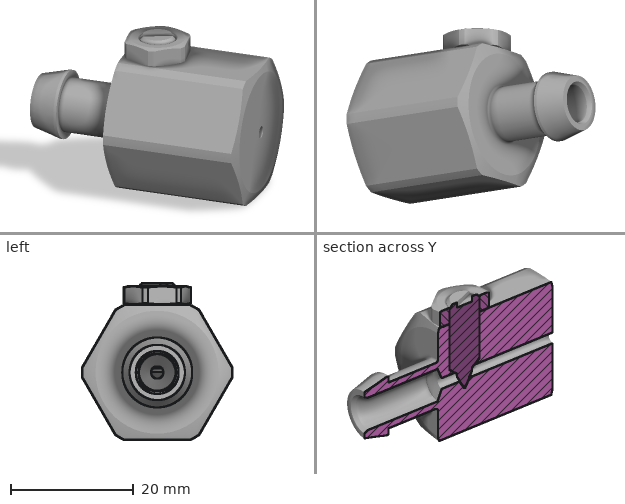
import cadquery as cq
import math

length = 38.5
block_start = 15.0
block_flats = 22.0
block_corner_dia = 24.5
block_face_dia = 20.02
chamfer_angle = 15.0

neck_dia = 9.0
barb_dia = 11.4
barb_length = 5.0
barb_land = 0.5
neck_fillet = 0.4

mouth_dia = 7.0
mouth_depth = 0.75
bore_dia = 6.2
bore_depth = block_start
funnel_dia = 5.95
funnel_half_angle = 68.0
passage_dia = 2.0

valve_x = 20.52
nut_flats = 10.0
nut_corner_dia = 11.05
nut_face_dia = 9.0
nut_height = 3.1
nut_turn = 9.0
nut_bottom = block_flats / 2
nut_mouth_dia = 6.45

screw_dia = 5.95
screw_top = 14.55
screw_top_chamfer = 0.55
needle_dia = 3.2
needle_shoulder = 0.65
needle_cone_start = 0.08
needle_half_angle = 30.0
slot_width = 1.2
slot_depth = 1.0
slot_turn = 23.5


def chamfered_hexagon(flats, corner_dia, face_dia, height):
    """Hexagon on Z from z = 0, with a flat facing +X, turned corners and conical ends."""
    hexagon = (
        cq.Workplane("XY")
        .polygon(6, flats / math.cos(math.radians(30)))
        .extrude(height)
        .rotate((0, 0, 0), (0, 0, 1), 30)
    )
    corner_radius = corner_dia / 2
    face_radius = face_dia / 2
    drop = (corner_radius - face_radius) * math.tan(math.radians(chamfer_angle))
    turned_envelope = (
        cq.Workplane("XZ")
        .polyline([
            (0, 0),
            (face_radius, 0),
            (corner_radius, drop),
            (corner_radius, height - drop),
            (face_radius, height),
            (0, height),
        ])
        .close()
        .revolve(360, (0, 0, 0), (0, 1, 0))
    )
    return hexagon.intersect(turned_envelope)


def make_hose_barb():
    neck_radius = neck_dia / 2
    barb_radius = barb_dia / 2
    fillet_middle = neck_fillet * (1 - math.sqrt(0.5))
    return (
        cq.Workplane("XY")
        .moveTo(0, 0)
        .lineTo(0, neck_radius)
        .lineTo(barb_length - barb_land, barb_radius)
        .lineTo(barb_length, barb_radius)
        .lineTo(barb_length, neck_radius)
        .lineTo(block_start - neck_fillet, neck_radius)
        .threePointArc(
            (block_start - fillet_middle, neck_radius + fillet_middle),
            (block_start, neck_radius + neck_fillet),
        )
        .lineTo(block_start, 0)
        .close()
        .revolve(360, (0, 0, 0), (1, 0, 0))
    )


def make_flow_path():
    """Bore with a tapered mouth, narrowing through a funnel to a passage right through."""
    passage_radius = passage_dia / 2
    funnel_radius = funnel_dia / 2
    funnel_length = (funnel_radius - passage_radius) / math.tan(math.radians(funnel_half_angle))
    return (
        cq.Workplane("XY")
        .polyline([
            (0, 0),
            (0, mouth_dia / 2),
            (mouth_depth, bore_dia / 2),
            (bore_depth, bore_dia / 2),
            (bore_depth, funnel_radius),
            (bore_depth + funnel_length, passage_radius),
            (length, passage_radius),
            (length, 0),
        ])
        .close()
        .revolve(360, (0, 0, 0), (1, 0, 0))
    )


def make_screw_blank():
    """Screw without its slot; its upper cone and its top chamfer slope at 45 degrees."""
    screw_radius = screw_dia / 2
    needle_radius = needle_dia / 2
    point_length = needle_radius / math.tan(math.radians(needle_half_angle))
    return (
        cq.Workplane("XZ")
        .polyline([
            (0, needle_cone_start - point_length),
            (needle_radius, needle_cone_start),
            (needle_radius, needle_shoulder),
            (screw_radius, needle_shoulder + screw_radius - needle_radius),
            (screw_radius, screw_top - screw_top_chamfer),
            (screw_radius - screw_top_chamfer, screw_top),
            (0, screw_top),
        ])
        .close()
        .revolve(360, (0, 0, 0), (0, 1, 0))
        .translate((valve_x, 0, 0))
    )


def make_housing(screw_blank):
    block = (
        chamfered_hexagon(block_flats, block_corner_dia, block_face_dia, length - block_start)
        .rotate((0, 0, 0), (0, 1, 0), 90)
        .translate((block_start, 0, 0))
    )
    return block.union(make_hose_barb()).cut(make_flow_path()).cut(screw_blank)


def make_lock_nut():
    nut = chamfered_hexagon(nut_flats, nut_corner_dia, nut_face_dia, nut_height)
    return (
        nut.faces(">Z").workplane()
        .hole(screw_dia)
        .faces(">Z").edges(cq.selectors.RadiusNthSelector(0))
        .chamfer((nut_mouth_dia - screw_dia) / 2)
        .rotate((0, 0, 0), (0, 0, 1), nut_turn)
        .translate((valve_x, 0, nut_bottom))
    )


def make_needle_screw(screw_blank):
    slot = (
        cq.Workplane("XY")
        .box(screw_dia, slot_width, slot_depth, centered=(True, True, False))
        .rotate((0, 0, 0), (0, 0, 1), slot_turn)
        .translate((valve_x, 0, screw_top - slot_depth))
    )
    return screw_blank.cut(slot)


screw_blank = make_screw_blank()
housing = make_housing(screw_blank)
lock_nut = make_lock_nut()
needle_screw = make_needle_screw(screw_blank)

result = cq.Compound.makeCompound([housing.val(), lock_nut.val(), needle_screw.val()])